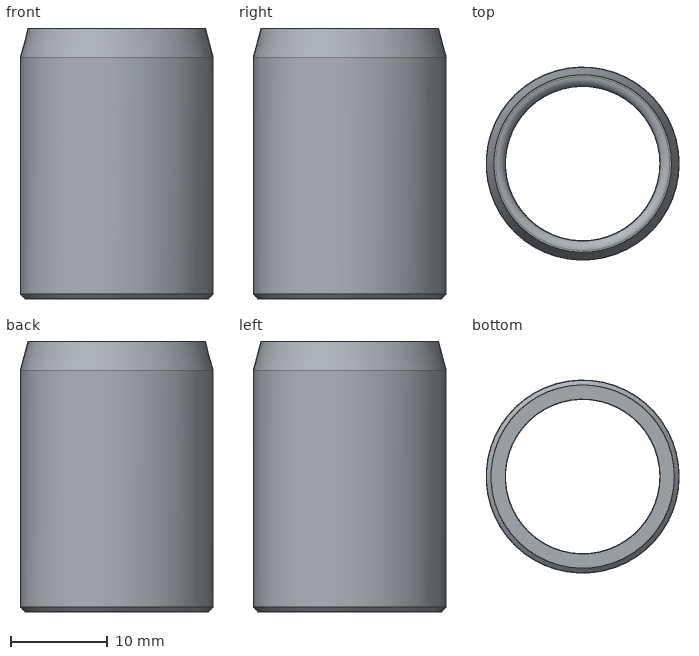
import cadquery as cq
import math

height = 28.0
outer_diameter = 20.0
bore_diameter = 16.0

taper_height = 3.0
taper_angle = 15.0
bottom_chamfer = 0.5
mouth_radius = 1.0

outer_radius = outer_diameter / 2
bore_radius = bore_diameter / 2
taper_start = height - taper_height
top_radius = outer_radius - taper_height * math.tan(math.radians(taper_angle))

mouth_start = height - mouth_radius
mouth_outer_radius = bore_radius + mouth_radius
mouth_mid_offset = mouth_radius * math.sqrt(0.5)
mouth_mid_point = (mouth_outer_radius - mouth_mid_offset, mouth_start + mouth_mid_offset)

wall_section = (
    cq.Workplane("XZ")
    .moveTo(bore_radius, 0)
    .lineTo(outer_radius - bottom_chamfer, 0)
    .lineTo(outer_radius, bottom_chamfer)
    .lineTo(outer_radius, taper_start)
    .lineTo(top_radius, height)
    .lineTo(mouth_outer_radius, height)
    .threePointArc(mouth_mid_point, (bore_radius, mouth_start))
    .close()
)

result = wall_section.revolve(360, (0, 0), (0, 1))